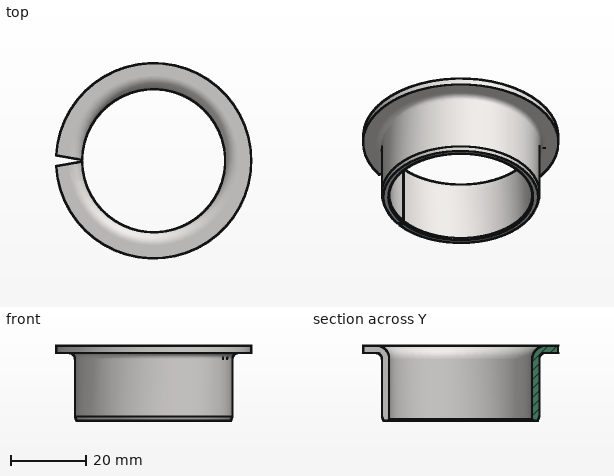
import cadquery as cq
import math

bore_radius = 19.0
wall = 2.0
flange_radius = 26.0
total_height = 20.0

inner_bend_radius = 1.5
outer_bend_radius = inner_bend_radius + wall

outer_chamfer_height = 1.2
outer_chamfer_angle = 20.0
inner_chamfer_height = 0.5
inner_chamfer_angle = 30.0

split_half_angle = 10.0
split_apex_inset = 1.0
split_overrun = 2.0

sleeve_radius = bore_radius + wall
bend_centre_radius = sleeve_radius + inner_bend_radius
bend_centre_z = total_height - outer_bend_radius
flange_underside_z = total_height - wall
outer_chamfer_width = outer_chamfer_height * math.tan(math.radians(outer_chamfer_angle))
inner_chamfer_width = inner_chamfer_height * math.tan(math.radians(inner_chamfer_angle))


def bend_midpoint(radius):
    """Middle of a bend arc, up from the shared centre and towards the axis."""
    reach = radius * math.sqrt(0.5)
    return (bend_centre_radius - reach, bend_centre_z + reach)


def make_bush():
    """Revolve the wall section (radius, z) about the Z axis, starting on -X so the seam lies in the split."""
    section = (
        cq.Workplane(cq.Plane(origin=(0, 0, 0), xDir=(-1, 0, 0), normal=(0, 1, 0)))
        .moveTo(bore_radius + inner_chamfer_width, 0)
        .lineTo(sleeve_radius - outer_chamfer_width, 0)
        .lineTo(sleeve_radius, outer_chamfer_height)
        .lineTo(sleeve_radius, bend_centre_z)
        .threePointArc(bend_midpoint(inner_bend_radius), (bend_centre_radius, flange_underside_z))
        .lineTo(flange_radius, flange_underside_z)
        .lineTo(flange_radius, total_height)
        .lineTo(bend_centre_radius, total_height)
        .threePointArc(bend_midpoint(outer_bend_radius), (bore_radius, bend_centre_z))
        .lineTo(bore_radius, inner_chamfer_height)
        .close()
    )
    return section.revolve(360, (0, 0, 0), (0, 1, 0))


def make_split():
    """Wedge through the full height, narrowing from outside the flange to its apex within the bore."""
    apex_radius = bore_radius - split_apex_inset
    far_radius = flange_radius + split_overrun
    far_half_gap = (far_radius - apex_radius) * math.tan(math.radians(split_half_angle))
    return (
        cq.Workplane("XY")
        .moveTo(-apex_radius, 0)
        .lineTo(-far_radius, far_half_gap)
        .lineTo(-far_radius, -far_half_gap)
        .close()
        .extrude(total_height)
    )


result = make_bush().cut(make_split())